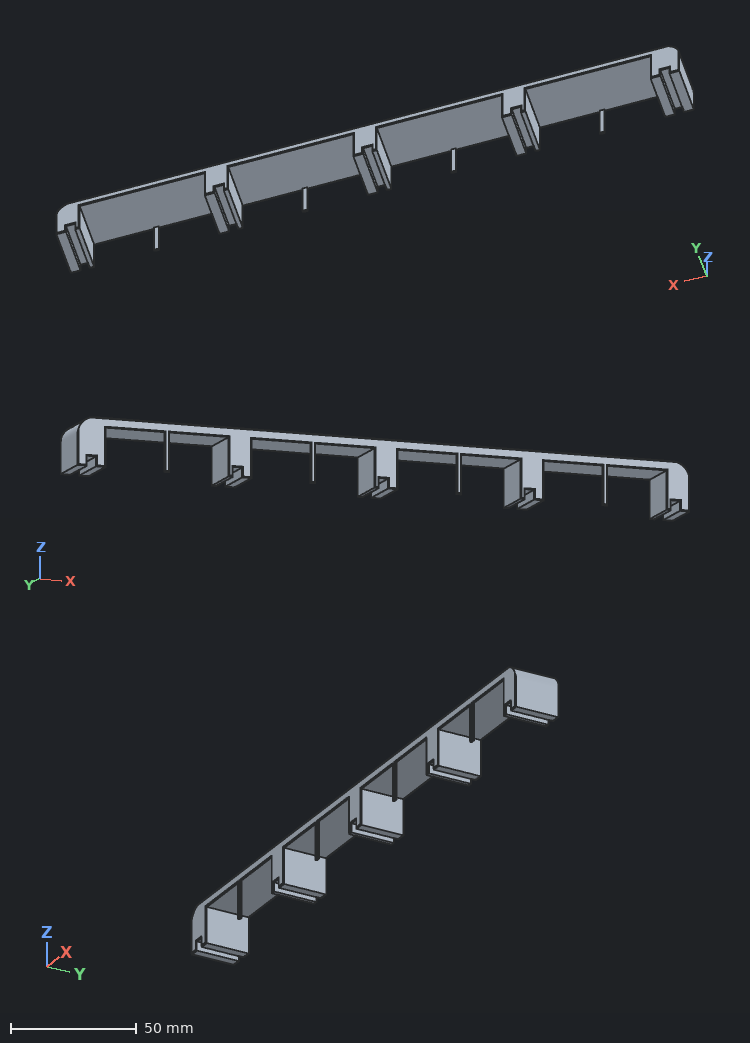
import cadquery as cq
length = 260.0
depth = 20.0
height = 20.0

bar_thickness = 4.0
end_radius = 7.5

edge_chamfer = 0.4

bay_count = 4
bay_pitch = 62.0
bay_width = 52.2
first_bay_start = 12.0

slot_width = 3.8
slot_height = 4.0

post_width = 2.0
post_depth = 1.0

first_bay_center = -length / 2 + first_bay_start + bay_width / 2
bay_centers = [first_bay_center + i * bay_pitch for i in range(bay_count)]
slot_centers = [(i - bay_count / 2) * bay_pitch for i in range(bay_count + 1)]


def box_from_base(x_center, width, box_depth, box_height):
    """Box standing on Z = 0, centered on Y = 0."""
    box = cq.Workplane("XY").box(width, box_depth, box_height, centered=(True, True, False))
    return box.translate((x_center, 0, 0))


def make_block():
    return box_from_base(0, length, depth, height)


def cut_bays(body):
    for x in bay_centers:
        body = body.cut(box_from_base(x, bay_width, depth, height - bar_thickness))
    return body


def cut_foot_slots(body):
    for x in slot_centers:
        body = body.cut(box_from_base(x, slot_width, depth, slot_height))
    return body


def add_posts(body):
    """Posts reach from the foot level to the top face so they fuse with the bar."""
    for x in bay_centers:
        post = box_from_base(x, post_width, post_depth, height)
        body = body.union(post.translate((0, (post_depth - depth) / 2, 0)))
    return body


def chamfer_faces(body):
    for face in ("<Y", ">Y"):
        body = body.faces(face).edges().chamfer(edge_chamfer)
    return body


def round_ends(body):
    """Round the two upper end edges; the face chamfers run out into the rounds."""
    envelope = make_block().edges("|Y and >Z").fillet(end_radius)
    return body.intersect(envelope)


bridge = add_posts(cut_foot_slots(cut_bays(make_block()))).clean()
result = round_ends(chamfer_faces(bridge))